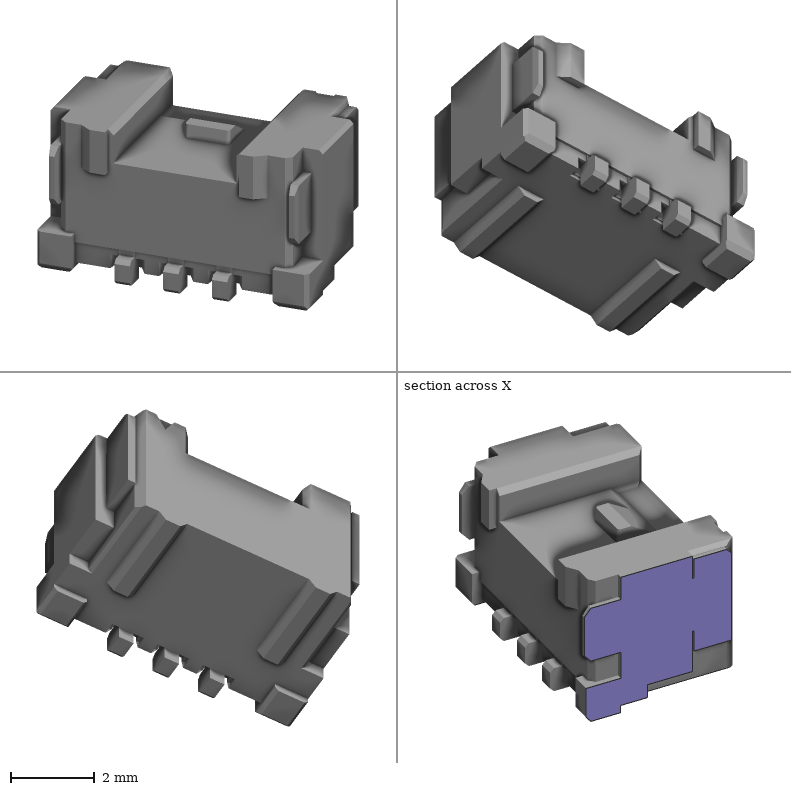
import cadquery as cq


half_length = 3.5
depth = 3.93
top = 3.9
base = 0.25
edge_chamfer = 0.1

core_half = 2.98
front_corner = (0.16, 0.13)
rear_corner = (0.16, 0.25)
rear_top_chamfer = (0.12, 0.09)

side_front = 0.74
side_rear = 2.695
side_underside = 0.615
side_leg_rear = 1.48

channel_half = 1.58
channel_floor = 3.03
channel_chamfer = 0.14
ramp_top_y = 3.01
ramp_bottom_y = 3.19
corner_radius = 0.11

nub_half = 0.58
nub_front_base = 2.0
nub_front_top = 2.045
nub_ramp_top = 2.4
nub_top = 3.395
nub_radius = 0.09

ramp_slope = (nub_top - channel_floor) / (ramp_top_y - nub_ramp_top)
rear_floor = channel_floor - ramp_slope * (ramp_bottom_y - ramp_top_y)

rib_reach = 0.2
rib_bottom = 2.785
rib_inner = channel_half + channel_chamfer
rib_flat_left = 0.4
rib_flat_right = 0.365
rib_slope = 0.295

foot_inner = 2.59
foot_top = 1.035
foot_bottom = 0.05
foot_front_chamfer = (0.16, 0.13)

rail_outer = 2.45
rail_inner = 1.68
rail_taper = 0.19
rail_front = 1.43

band_top = 0.81
band_recess = 0.07

contact_pitch = 1.25
contact_count = 3
contact_width = 0.4
contact_tip = 0.27
contact_rear = 0.3
contact_top = 0.65
contact_chamfer = 0.105
contact_stem_front = 0.04
window_half = 0.44
window_top = 0.61
window_side_taper = 0.105
window_bottom_taper = 0.085
window_mouth_depth = 0.105
window_depth = 0.28
relief_depth = 0.315

fin_thickness = 0.21
fin_centre = 3.09
fin_shift = 0.015
fin_rear = 3.745
fin_rear_front = 2.72
fin_rear_bottom = 1.18
fin_rear_top = 3.81
fin_tab_bottom = 1.76
fin_tab_top = 3.27
fin_bevel_y = -0.07
fin_tip_y = -0.25
fin_tip_chamfer = 0.2
fin_tip_thinning = 0.035
fin_right_chamfer = 0.13

mark_x = 2.28
mark_half = 0.25
mark_height = 0.435
mark_depth = 0.09


def box(x0, x1, y0, y1, z0, z1):
    """Axis-aligned block between two opposite corners."""
    return cq.Workplane("XY").box(x1 - x0, y1 - y0, z1 - z0, centered=False).translate((x0, y0, z0))


def prism_along_x(points, x0, x1):
    """Extrude a (y, z) outline from x0 to x1."""
    return cq.Workplane("YZ", origin=(x0, 0, 0)).polyline(points).close().extrude(x1 - x0)


def prism_along_y(points, y0, y1):
    """Extrude an (x, z) outline from y0 to y1."""
    return cq.Workplane("XZ", origin=(0, y0, 0)).polyline(points).close().extrude(y0 - y1)


def prism_along_z(points, z0, z1):
    """Extrude an (x, y) outline from z0 to z1."""
    return cq.Workplane("XY", origin=(0, 0, z0)).polyline(points).close().extrude(z1 - z0)


def mirrored(points, side):
    """Reflect outline points to the chosen side of X = 0."""
    return [(side * u, v) for u, v in points]


def core():
    """Full-depth core with chamfered upright corners."""
    right_outline = [
        (core_half - front_corner[0], 0),
        (core_half, front_corner[1]),
        (core_half, depth - rear_corner[1]),
        (core_half - rear_corner[0], depth),
    ]
    left_outline = mirrored(reversed(right_outline), -1)
    body = prism_along_z(right_outline + left_outline, base, top)
    for side in (-1, 1):
        top_bevel = [
            (core_half - rear_top_chamfer[0], top),
            (core_half, top),
            (core_half, top - rear_top_chamfer[1]),
        ]
        bottom_bevel = [
            (core_half - edge_chamfer, base),
            (core_half, base),
            (core_half, base + edge_chamfer),
        ]
        body = body.cut(prism_along_y(mirrored(top_bevel, side), side_rear, depth))
        body = body.cut(prism_along_y(mirrored(bottom_bevel, side), side_leg_rear, depth))
    return body


def side_blocks():
    """Wide blocks at both ends, stepped underneath and chamfered on top."""
    profile = [
        (side_front, base),
        (side_leg_rear, base),
        (side_leg_rear, side_underside),
        (side_rear, side_underside),
        (side_rear, top),
        (side_front, top),
    ]
    blocks = prism_along_x(profile, -half_length, half_length)
    return blocks.faces(">Z").edges("<X or >X").chamfer(edge_chamfer)


def front_feet():
    """Feet at the two front corners, bevelled along their lower edges."""
    feet = cq.Workplane("XY")
    for side in (-1, 1):
        outline = [
            (foot_inner, -rib_reach),
            (half_length - edge_chamfer, -rib_reach),
            (half_length, edge_chamfer - rib_reach),
            (half_length, side_front),
            (foot_inner, side_front),
        ]
        section = [
            (foot_inner, foot_top),
            (foot_inner, foot_bottom + edge_chamfer),
            (foot_inner + edge_chamfer, foot_bottom),
            (half_length - edge_chamfer, foot_bottom),
            (half_length, foot_bottom + edge_chamfer),
            (half_length, foot_top),
        ]
        front_bevel = [
            (-rib_reach, foot_bottom),
            (foot_front_chamfer[1] - rib_reach, foot_bottom),
            (-rib_reach, foot_bottom + foot_front_chamfer[0]),
        ]
        foot = prism_along_z(mirrored(outline, side), foot_bottom, foot_top)
        foot = foot.intersect(prism_along_y(mirrored(section, side), -rib_reach, side_front))
        foot = foot.cut(prism_along_x(front_bevel, -half_length, half_length))
        feet = feet.add(foot)
    return feet.combine()


def underside_rails():
    """Tapered rails below the rear of the housing."""
    section = [
        (rail_inner, base),
        (rail_inner + rail_taper, foot_bottom),
        (rail_outer - rail_taper, foot_bottom),
        (rail_outer, base),
    ]
    left = prism_along_y(mirrored(section, -1), rail_front, depth)
    right = prism_along_y(section, rail_front, depth)
    return left.union(right)


def front_ribs():
    """Upright ribs either side of the channel mouth, sloping back outwards."""
    ribs = cq.Workplane("XY")
    for side, flat in ((-1, rib_flat_left), (1, rib_flat_right)):
        outline = [
            (rib_inner, 0),
            (rib_inner, -rib_reach),
            (rib_inner + flat, -rib_reach),
            (rib_inner + flat + rib_slope, 0),
        ]
        ribs = ribs.add(prism_along_z(mirrored(outline, side), rib_bottom, top))
    return ribs.combine()


def channel():
    """Open volume of the top channel, with its lower rear floor and flared rear end."""
    front_section = [
        (-channel_half, channel_floor),
        (channel_half, channel_floor),
        (channel_half, top - channel_chamfer),
        (rib_inner, top),
        (-rib_inner, top),
        (-channel_half, top - channel_chamfer),
    ]
    rear_profile = [
        (ramp_top_y, channel_floor),
        (ramp_bottom_y, rear_floor),
        (depth, rear_floor),
        (depth, top - channel_chamfer),
        (ramp_top_y, top - channel_chamfer),
    ]
    rear = prism_along_x(rear_profile, -channel_half, channel_half)
    rounded = box(-channel_half, channel_half, ramp_top_y, depth, rear_floor, top)
    rounded = rounded.faces("<Z").edges("|Y").fillet(corner_radius)
    opening = prism_along_y(front_section, 0, depth).union(rear.intersect(rounded))

    flare_inner = channel_half - corner_radius
    flare_size = rib_inner - flare_inner
    for side in (-1, 1):
        flare = [
            (flare_inner, depth - flare_size),
            (rib_inner, depth),
            (flare_inner, depth),
        ]
        opening = opening.union(prism_along_z(mirrored(flare, side), rear_floor, top))
    return opening


def latch_nub():
    """Latch nub whose rear ramp continues the ramp of the channel floor."""
    profile = [
        (nub_front_base, channel_floor),
        (nub_front_top, nub_top),
        (nub_ramp_top, nub_top),
        (ramp_top_y, channel_floor),
    ]
    nub = prism_along_x(profile, -nub_half, nub_half)
    return nub.faces("<Y").edges("<X or >X").fillet(nub_radius)


def front_band():
    """Volume removed to set the lower front face back."""
    return box(-foot_inner, foot_inner, 0, band_recess, base, band_top)


def contact_window(x):
    """Funnel-mouthed pocket around a contact, with a relief opening it to the underside."""
    height = window_top - base
    inner_half = window_half - window_side_taper
    inner_bottom = base + window_bottom_taper
    mouth_rear = band_recess + window_mouth_depth
    rear = band_recess + window_depth
    relief_rear = band_recess + relief_depth
    mouth = (
        cq.Workplane("XZ", origin=(x, band_recess, base + height / 2))
        .rect(2 * window_half, height)
        .workplane(offset=-window_mouth_depth)
        .center(0, window_bottom_taper / 2)
        .rect(2 * inner_half, height - window_bottom_taper)
        .loft()
    )
    pocket = box(x - inner_half, x + inner_half, mouth_rear, rear, inner_bottom, window_top)
    relief_profile = [
        (band_recess, base),
        (mouth_rear, inner_bottom),
        (relief_rear, inner_bottom),
        (relief_rear, base),
    ]
    relief = prism_along_x(relief_profile, x - window_half, x + window_half)
    return mouth.union(pocket).union(relief)


def contact(x):
    """Solder tail with bevelled tip, and the stem rising behind it."""
    profile = [
        (contact_chamfer - contact_tip, 0),
        (contact_rear, 0),
        (contact_rear, band_top),
        (contact_stem_front, band_top),
        (contact_stem_front, contact_top),
        (contact_chamfer - contact_tip, contact_top),
        (-contact_tip, contact_top - contact_chamfer),
        (-contact_tip, contact_chamfer),
    ]
    return prism_along_x(profile, x - contact_width / 2, x + contact_width / 2)


def fin(side):
    """Retention fin: a tall rear plate and a tab through the side block to a bevelled tip."""
    x_mid = side * fin_centre + fin_shift
    x0 = x_mid - fin_thickness / 2
    x1 = x_mid + fin_thickness / 2
    plate = box(x0, x1, fin_rear_front, fin_rear, fin_rear_bottom, fin_rear_top)
    if side > 0:
        plate = plate.edges(">Y and >Z").chamfer(fin_right_chamfer)
    tab = box(x0, x1, fin_bevel_y, fin_rear, fin_tab_bottom, fin_tab_top)
    tab_height = fin_tab_top - fin_tab_bottom
    tip = (
        cq.Workplane("XZ", origin=(x_mid, fin_bevel_y, fin_tab_bottom + tab_height / 2))
        .rect(fin_thickness, tab_height)
        .workplane(offset=fin_bevel_y - fin_tip_y)
        .rect(fin_thickness - 2 * fin_tip_thinning, tab_height - 2 * fin_tip_chamfer)
        .loft()
    )
    return plate.union(tab).union(tip)


def polarity_mark():
    """Triangular notch in the top rear edge marking the first contact."""
    triangle = [
        (mark_x - mark_half, top),
        (mark_x + mark_half, top),
        (mark_x, top - mark_height),
    ]
    return prism_along_y(triangle, depth - mark_depth, depth)


housing = core().union(side_blocks()).union(front_feet()).union(underside_rails())
housing = housing.union(front_ribs()).cut(channel()).union(latch_nub())
housing = housing.cut(front_band()).cut(polarity_mark())

for index in range(contact_count):
    contact_x = (index - (contact_count - 1) / 2) * contact_pitch
    housing = housing.cut(contact_window(contact_x)).union(contact(contact_x))

for end in (-1, 1):
    housing = housing.union(fin(end))

result = housing